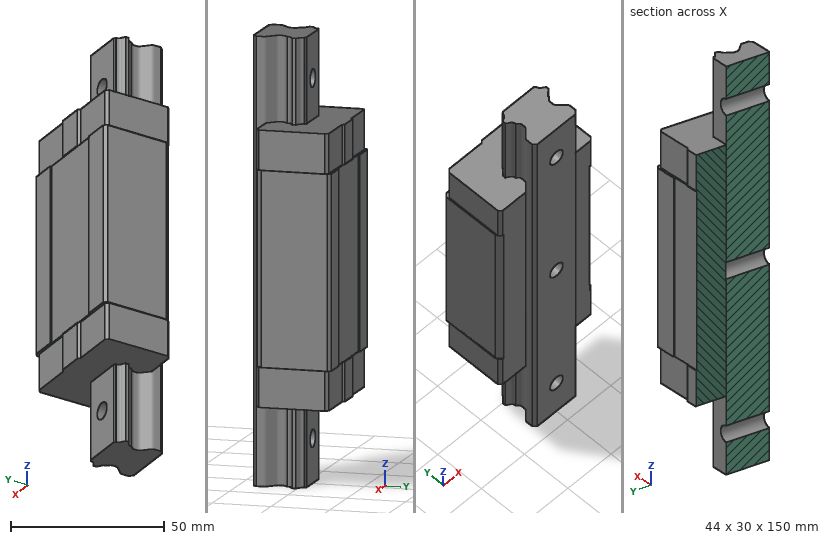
import cadquery as cq
import math

rail_length = 150.0
rail_height = 17.5
rail_half_width = 10.0
foot_chamfer = 1.2
neck_half_width = 6.6
corner_round = 0.6
head_top_chamfer = 0.6

shoulder_low = 4.2
shoulder_high = shoulder_low + rail_half_width - neck_half_width

head_middle = 14.1
head_land_half = 0.6
groove_radius = 1.8
groove_center_x = 9.6
groove_offset = 3.0
groove_sweep = 70
groove_bottom_x = groove_center_x - groove_radius

mount_hole_diameter = 6.0
mount_hole_pitch = 60.0
mount_hole_count = 3

carriage_length = 92.4
carriage_bottom = 4.5

block_length = 65.7
block_top = 30.0
block_half_width_high = 44.0 / 2
block_half_width_low = 43.6 / 2
block_low_chamfer = 2.0
block_top_chamfer = 1.0
pad_inner_x = 12.0
pad_height = 0.5

cap_length = (carriage_length - block_length) / 2
cap_half_width = 43.0 / 2
cap_top = 29.1
cap_chamfer = 1.0
ridge_half_width = 4.6
ridge_height = 0.8


def mirrored_prism(half_outline, length):
    """Prism centred on Z = 0 from the right-hand points, which run upwards, and their mirror image."""
    left_outline = [(-x, y) for x, y in reversed(half_outline)]
    outline = cq.Workplane("XY").polyline(half_outline + left_outline).close()
    return outline.extrude(length / 2, both=True)


def groove_point(side, angle):
    """Point on a ball groove; side is -1 below the head land and +1 above it."""
    turn = math.radians(angle)
    return (
        groove_center_x - groove_radius * math.cos(turn),
        head_middle + side * (groove_offset - groove_radius * math.sin(turn)),
    )


def rail_half_section():
    """Right half of the rail section, closed along X = 0."""
    diagonal = corner_round * math.sqrt(0.5)
    groove_low_y = groove_point(-1, 0)[1]
    undercut_low = groove_low_y - (groove_bottom_x - neck_half_width)
    foot = (
        cq.Workplane("XY")
        .lineTo(rail_half_width - foot_chamfer, 0)
        .lineTo(rail_half_width, foot_chamfer)
        .lineTo(rail_half_width, shoulder_low - corner_round)
        .tangentArcPoint((rail_half_width - diagonal, shoulder_low + diagonal), relative=False)
    )
    neck = (
        foot
        .lineTo(neck_half_width + diagonal, shoulder_high - diagonal)
        .tangentArcPoint((neck_half_width, shoulder_high + corner_round), relative=False)
        .lineTo(neck_half_width, undercut_low - corner_round)
        .tangentArcPoint((neck_half_width + diagonal, undercut_low + diagonal), relative=False)
        .lineTo(groove_bottom_x, groove_low_y)
    )
    head = (
        neck
        .threePointArc(groove_point(-1, groove_sweep / 2), groove_point(-1, groove_sweep))
        .lineTo(rail_half_width, head_middle - head_land_half)
        .lineTo(rail_half_width, head_middle + head_land_half)
        .lineTo(*groove_point(1, groove_sweep))
        .threePointArc(groove_point(1, groove_sweep / 2), groove_point(1, 0))
        .lineTo(groove_bottom_x, rail_height - head_top_chamfer)
        .lineTo(groove_bottom_x - head_top_chamfer, rail_height)
        .lineTo(0, rail_height)
    )
    return head.close()


def make_rail_bar():
    """The rail without its holes, also used to cut the matching channel in the carriage."""
    half_bar = rail_half_section().extrude(rail_length / 2, both=True)
    return half_bar.union(half_bar.mirror("YZ")).clean()


def make_mount_holes():
    return (
        cq.Workplane("XZ")
        .rarray(1.5, mount_hole_pitch, 1, mount_hole_count)
        .circle(mount_hole_diameter / 2)
        .extrude(-rail_height)
    )


def make_rail():
    return make_rail_bar().cut(make_mount_holes())


def make_block():
    """Central block with tapered sides and two raised pads along its top."""
    recess_y = block_top - pad_height
    outline = [
        (block_half_width_low - block_low_chamfer, carriage_bottom),
        (block_half_width_low, carriage_bottom + block_low_chamfer),
        (block_half_width_high, block_top - block_top_chamfer),
        (block_half_width_high - block_top_chamfer, block_top),
        (pad_inner_x, block_top),
        (pad_inner_x, recess_y),
    ]
    return mirrored_prism(outline, block_length)


def make_cap():
    """One ridged end cap, centred on Z = 0."""
    outline = [
        (cap_half_width - cap_chamfer, carriage_bottom),
        (cap_half_width, carriage_bottom + cap_chamfer),
        (cap_half_width, cap_top - cap_chamfer),
        (cap_half_width - cap_chamfer, cap_top),
        (ridge_half_width + ridge_height, cap_top),
        (ridge_half_width, cap_top + ridge_height),
    ]
    return mirrored_prism(outline, cap_length)


def make_carriage():
    carriage = make_block()
    cap_center_z = (block_length + cap_length) / 2
    for side in (-1, 1):
        carriage = carriage.union(make_cap().translate((0, 0, side * cap_center_z)))
    return carriage.cut(make_rail_bar())


rail = make_rail()
carriage = make_carriage()

result = cq.Compound.makeCompound([rail.val(), carriage.val()])